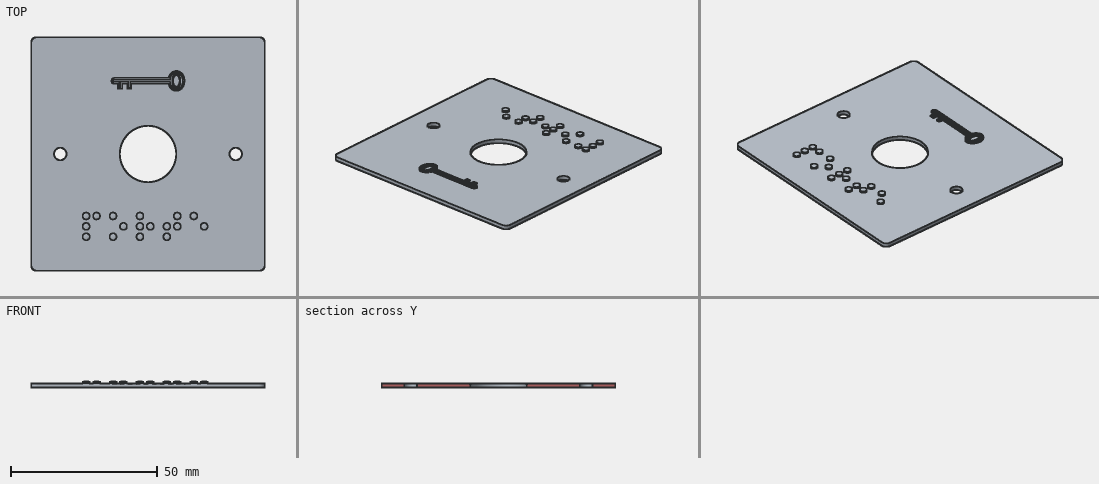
import cadquery as cq

plate_side = 80.0
plate_thickness = 1.5
corner_radius = 2.0
center_hole_diameter = 19.2
screw_hole_diameter = 4.2
screw_hole_spacing = 60.0

overall_height = 2.19
dot_diameter = 2.4
dot_radius = dot_diameter / 2
dot_wall_height = 0.54
dot_pitch = 3.55
cell_pitch = 9.2
first_dot_x = -21.15
first_dot_y = -21.2
braille_cells = [
    [(0, 0), (0, 1), (0, 2), (1, 0)],
    [(0, 0), (0, 2), (1, 1)],
    [(0, 0), (0, 1), (0, 2), (1, 1)],
    [(0, 1), (0, 2), (1, 0), (1, 1)],
    [(0, 0), (1, 1)],
]

groove_depth = 0.3
key_y = 25.0
shank_width = 2.0
shank_tip_x = -12.5
shank_core_width = 0.67
groove_width = (shank_width - shank_core_width) / 2
tooth_bottom_y = key_y - 2.7
tooth_floor_width = 0.4
key_teeth = [(-9.6, 1.65, 0.35), (-6.45, 1.35, 0.6)]
bow_x = 9.7
bow_outer = (2.8, 3.4)
bow_core_outer = (2.2, 3.0)
bow_core_inner = (1.4, 2.5)
bow_inner = (1.1, 2.0)


def make_plate():
    """Square plate with rounded corners, a center hole and two screw holes."""
    plate = cq.Workplane("XY").rect(plate_side, plate_side).extrude(plate_thickness)
    plate = plate.edges("|Z").fillet(corner_radius)
    plate = plate.faces(">Z").workplane().hole(center_hole_diameter)
    screw_points = [(-screw_hole_spacing / 2, 0), (screw_hole_spacing / 2, 0)]
    return plate.faces(">Z").workplane().pushPoints(screw_points).hole(screw_hole_diameter)


def make_dot():
    """One braille dot at the origin, rooted down through the plate."""
    wall_top = plate_thickness + dot_wall_height
    cap_height = overall_height - wall_top
    dome_radius = (dot_radius**2 + cap_height**2) / (2 * cap_height)
    dome_center = (0, 0, overall_height - dome_radius)
    dome = cq.Workplane("XZ").sphere(dome_radius).translate(dome_center)
    return cq.Workplane("XY").circle(dot_radius).extrude(overall_height).intersect(dome)


def dot_positions():
    """Dot centers of the whole braille word."""
    points = []
    for cell_index, cell in enumerate(braille_cells):
        cell_x = first_dot_x + cell_index * cell_pitch
        for column, row in cell:
            points.append((cell_x + column * dot_pitch, first_dot_y - row * dot_pitch))
    return points


def sunk_box(x_min, x_max, y_min, y_max):
    """Box reaching from the groove floor up to the plate's top face."""
    box = cq.Workplane("XY", origin=(0, 0, plate_thickness))
    box = box.center((x_min + x_max) / 2, (y_min + y_max) / 2)
    return box.rect(x_max - x_min, y_max - y_min).extrude(-groove_depth)


def sunk_oval(radii):
    """Oval of the key bow, from the groove floor up to the plate's top face."""
    oval = cq.Workplane("XY", origin=(bow_x, key_y, plate_thickness))
    return oval.ellipse(*radii).extrude(-groove_depth)


def make_key_outer():
    """Full silhouette of the key with a rounded tip, teeth and an oval bow."""
    half = shank_width / 2
    key = sunk_box(shank_tip_x + half, bow_x, key_y - half, key_y + half)
    tip = cq.Workplane("XY", origin=(shank_tip_x + half, key_y, plate_thickness))
    key = key.union(tip.circle(half).extrude(-groove_depth))
    for tooth_x, width, _ in key_teeth:
        key = key.union(sunk_box(tooth_x - width / 2, tooth_x + width / 2, tooth_bottom_y, key_y))
    return key.union(sunk_oval(bow_outer)).cut(sunk_oval(bow_inner))


def make_key_core():
    """Inner area of the key that stays level with the plate's top face."""
    half = shank_core_width / 2
    core = sunk_box(shank_tip_x + groove_width, bow_x, key_y - half, key_y + half)
    core_bottom_y = tooth_bottom_y + tooth_floor_width
    for tooth_x, _, width in key_teeth:
        core = core.union(sunk_box(tooth_x - width / 2, tooth_x + width / 2, core_bottom_y, key_y))
    return core.union(sunk_oval(bow_core_outer)).cut(sunk_oval(bow_core_inner))


def make_key_groove():
    """Groove following the key's outline, between its silhouette and its core."""
    return make_key_outer().cut(make_key_core())


dot = make_dot()
result = make_plate().cut(make_key_groove())
for dot_x, dot_y in dot_positions():
    result = result.union(dot.translate((dot_x, dot_y, 0)))